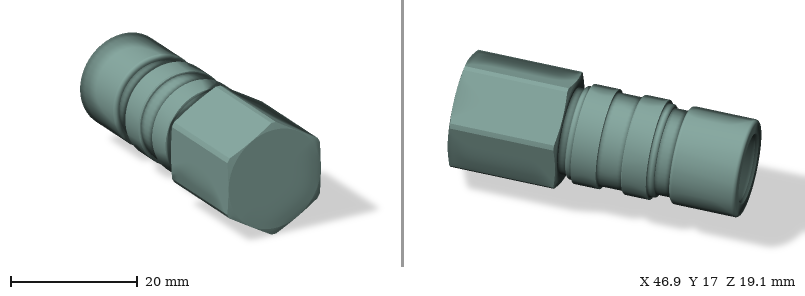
import cadquery as cq
import math

total_length = 46.9
hex_across_flats = 17.0
hex_corner_diameter = 19.15

barrel_diameter = 15.8
neck_diameter = 14.0
flange_diameter = 15.1
collar_diameter = 16.15

barrel_end = 10.9
front_flange_start = 13.4
front_collar_start = 14.55
collar_width = 4.15
rear_collar_start = 22.75
rear_flange_end = 28.05
hex_start = 29.25

shoulder_fillet = 0.5
collar_root_fillet = 0.15
collar_edge_chamfer = 0.2
hex_face_diameter = 16.9
hex_chamfer_angle = 15.0
hex_half_angle = 30.0

bore_diameter = 10.55
bore_mouth_diameter = 11.45
bore_depth = hex_start


def cylinder(start, end, diameter):
    """Solid cylinder along X between two positions."""
    return cq.Workplane("YZ").workplane(offset=start).circle(diameter / 2).extrude(end - start)


def root_fillet(shoulder_x, direction):
    """Small concave ring where a flange meets a collar; direction points away from the collar."""
    flange_radius = flange_diameter / 2
    size = collar_root_fillet
    bulge = size * (1 - math.sqrt(0.5))
    return (
        cq.Workplane("XY")
        .moveTo(shoulder_x, flange_radius - size)
        .lineTo(shoulder_x, flange_radius + size)
        .threePointArc(
            (shoulder_x + direction * bulge, flange_radius + bulge),
            (shoulder_x + direction * size, flange_radius),
        )
        .lineTo(shoulder_x + direction * size, flange_radius - size)
        .close()
        .revolve(360, (0, 0, 0), (1, 0, 0))
    )


def turned_body():
    """Barrel, necks, flanges and the two collars."""
    front_collar_end = front_collar_start + collar_width
    rear_collar_end = rear_collar_start + collar_width
    barrel = cylinder(0, barrel_end, barrel_diameter).edges().fillet(shoulder_fillet)
    neck = cylinder(barrel_end / 2, hex_start, neck_diameter)
    flange = cylinder(front_flange_start, rear_flange_end, flange_diameter).edges().fillet(shoulder_fillet)
    front_collar = (
        cylinder(front_collar_start, front_collar_end, collar_diameter)
        .edges(">X")
        .chamfer(collar_edge_chamfer)
    )
    rear_collar = cylinder(rear_collar_start, rear_collar_end, collar_diameter)
    body = barrel.union(neck).union(flange).union(front_collar).union(rear_collar)
    for shoulder_x, direction in (
        (front_collar_start, -1),
        (rear_collar_start, -1),
        (rear_collar_end, 1),
    ):
        body = body.union(root_fillet(shoulder_x, direction))
    return body


def hex_nut():
    """Hexagon with flats at +Y and -Y, corners turned down and both ends coned."""
    across_corners = hex_across_flats / math.cos(math.radians(hex_half_angle))
    hex_length = total_length - hex_start
    prism = (
        cq.Workplane("YZ")
        .workplane(offset=hex_start)
        .polygon(6, across_corners)
        .extrude(hex_length)
        .rotate((0, 0, 0), (1, 0, 0), hex_half_angle)
    )
    cone_rise = (hex_corner_diameter - hex_face_diameter) / 2
    cone_length = cone_rise * math.tan(math.radians(hex_chamfer_angle))
    envelope = (
        cq.Workplane("XY")
        .moveTo(hex_start, 0)
        .lineTo(hex_start, hex_face_diameter / 2)
        .lineTo(hex_start + cone_length, hex_corner_diameter / 2)
        .lineTo(total_length - cone_length, hex_corner_diameter / 2)
        .lineTo(total_length, hex_face_diameter / 2)
        .lineTo(total_length, 0)
        .close()
        .revolve(360, (0, 0, 0), (1, 0, 0))
    )
    return prism.intersect(envelope)


def bore():
    """Blind bore with a 45 degree chamfered mouth."""
    mouth_chamfer = (bore_mouth_diameter - bore_diameter) / 2
    return (
        cq.Workplane("XY")
        .lineTo(0, bore_mouth_diameter / 2)
        .lineTo(mouth_chamfer, bore_diameter / 2)
        .lineTo(bore_depth, bore_diameter / 2)
        .lineTo(bore_depth, 0)
        .close()
        .revolve(360, (0, 0, 0), (1, 0, 0))
    )


result = turned_body().union(hex_nut()).cut(bore())